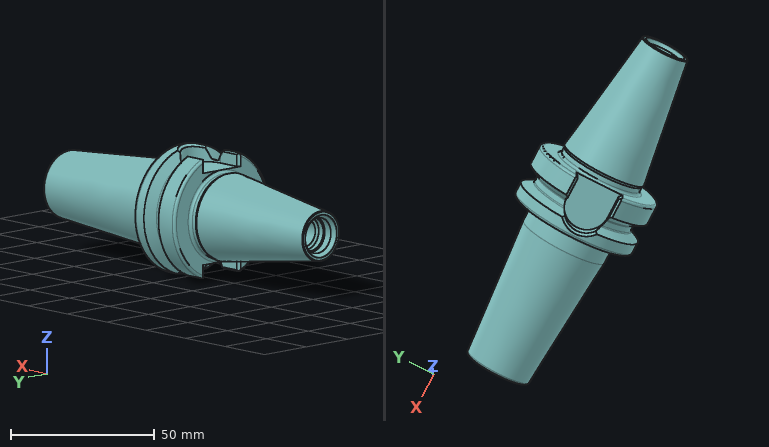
import cadquery as cq
import math

length = 128.4
flange_start = 50.3
flange_end = 70.6
flange_radius = 23.0
flange_edge_fillet = 1.0

taper_small_radius = 8.9
taper_slope = 7 / 24 / 2
taper_length = 46.6
taper_end_chamfer = 0.3
neck_start = 47.5
neck_radius = 15.3
neck_fillet = 1.0

groove_left = 58.2
groove_right = 65.6
groove_radius = 18.9
groove_fillet = 0.5
groove_flank_angle = math.radians(60)

nose_radius = 16.0
nose_cylinder_end = 77.4
nose_tip_radius = 12.1
nose_tip_fillet = 1.0
nose_root_fillet = 0.8

keyway_width = 16.0
keyway_floor = 16.3
keyway_arc_center = 59.7
keyway_bevel = 1.0

mouth_radius = 7.6
mouth_bevel = 0.3
mouth_cone_end = 1.7
pilot_radius = 6.3
pilot_depth = 4.8
pilot_step = 0.4
thread_start = 7.5
thread_radius = 4.9
thread_lead_in = 0.6
bore_depth = 28.2
drill_tip_angle = math.radians(59)

match_tolerance = 0.01


def revolve_profile(points):
    """Turn an (x, radius) outline around the X axis."""
    return cq.Workplane("XY").polyline(points).close().revolve(360, (0, 0, 0), (1, 0, 0))


def ring_at(body, x, radius):
    """Pick the circular edge with the given station and radius."""
    def matches(edge):
        return (
            edge.geomType() == "CIRCLE"
            and abs(edge.Center().x - x) < match_tolerance
            and abs(edge.radius() - radius) < match_tolerance
        )

    return body.newObject([edge for edge in body.edges().vals() if matches(edge)])


def make_body():
    taper_large_radius = taper_small_radius + taper_slope * taper_length
    flank_run = (flange_radius - groove_radius) / math.tan(groove_flank_angle)
    groove_floor_left = groove_left + flank_run
    groove_floor_right = groove_right - flank_run
    body = revolve_profile([
        (0, 0),
        (0, taper_small_radius),
        (taper_length, taper_large_radius),
        (neck_start, neck_radius),
        (flange_start, neck_radius),
        (flange_start, flange_radius),
        (groove_left, flange_radius),
        (groove_floor_left, groove_radius),
        (groove_floor_right, groove_radius),
        (groove_right, flange_radius),
        (flange_end, flange_radius),
        (flange_end, nose_radius),
        (nose_cylinder_end, nose_radius),
        (length, nose_tip_radius),
        (length, 0),
    ])
    body = ring_at(body, 0, taper_small_radius).chamfer(taper_end_chamfer)
    for x, radius, fillet in [
        (flange_start, neck_radius, neck_fillet),
        (flange_start, flange_radius, flange_edge_fillet),
        (groove_floor_left, groove_radius, groove_fillet),
        (groove_floor_right, groove_radius, groove_fillet),
        (flange_end, flange_radius, flange_edge_fillet),
        (flange_end, nose_radius, nose_root_fillet),
        (length, nose_tip_radius, nose_tip_fillet),
    ]:
        body = ring_at(body, x, radius).fillet(fillet)
    return body


def make_keyway():
    """Upper keyway cutter, flared where it opens through the flange face."""
    half_width = keyway_width / 2
    depth = flange_radius - keyway_floor
    start = flange_start
    slot = (
        cq.Workplane("XY", origin=(0, 0, keyway_floor))
        .moveTo(start, -half_width)
        .lineTo(keyway_arc_center, -half_width)
        .threePointArc((keyway_arc_center + half_width, 0), (keyway_arc_center, half_width))
        .lineTo(start, half_width)
        .close()
        .extrude(depth)
    )
    face_flare = (
        cq.Workplane("XY", origin=(0, 0, keyway_floor))
        .polyline([
            (start, -half_width - keyway_bevel),
            (start + keyway_bevel, -half_width),
            (start + keyway_bevel, half_width),
            (start, half_width + keyway_bevel),
        ])
        .close()
        .extrude(depth)
    )
    return slot.union(face_flare)


def bevel_keyway_rims(body):
    """Bevel the keyway edges lying on the flange cylinder."""
    def on_rim(edge):
        return all(
            abs(math.hypot(p.y, p.z) - flange_radius) < match_tolerance
            for p in (edge.positionAt(t) for t in (0.0, 0.3, 0.7, 1.0))
        )

    def beside_keyway(edge):
        middle = edge.positionAt(0.5)
        return edge.geomType() != "CIRCLE" and abs(middle.y) < keyway_width

    rims = [e for e in body.edges().vals() if on_rim(e) and beside_keyway(e)]
    return body.newObject(rims).chamfer(keyway_bevel)


def make_bore():
    tip_length = thread_radius / math.tan(drill_tip_angle)
    return revolve_profile([
        (0, 0),
        (0, mouth_radius),
        (mouth_bevel, mouth_radius - mouth_bevel),
        (mouth_cone_end, pilot_radius),
        (pilot_depth, pilot_radius),
        (pilot_depth + pilot_step, pilot_radius - pilot_step),
        (thread_start, pilot_radius - pilot_step),
        (thread_start + thread_lead_in, thread_radius),
        (bore_depth, thread_radius),
        (bore_depth + tip_length, 0),
    ])


keyway = make_keyway()
body = make_body().cut(keyway).cut(keyway.mirror("XY"))
result = bevel_keyway_rims(body).cut(make_bore())